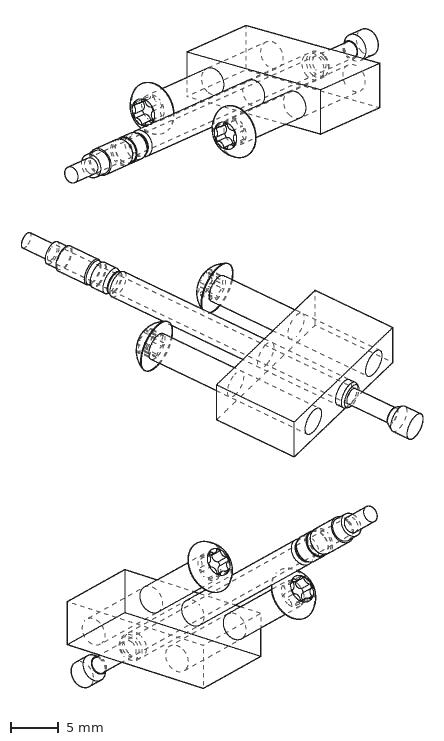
import cadquery as cq
import math


BLOCK_WIDTH = 18.0
BLOCK_DEPTH = 10.0
BLOCK_HEIGHT = 5.0

SCREW_OFFSET = 5.5
SHANK_RADIUS = 1.5
SHANK_EXPOSED = 10.1
HEAD_RADIUS = 2.85
HEAD_HEIGHT = 1.6
HEAD_RIM = 0.1
HEAD_FLAT_RADIUS = SHANK_RADIUS

SOCKET_RADIUS = 1.4
SOCKET_DEPTH = 1.5
FLUTE_COUNT = 6
FLUTE_RADIUS = 0.6
FLUTE_CENTRE_RADIUS = 1.65

BARREL_DIAMETER = 2.95
BARREL_RADIUS = BARREL_DIAMETER / 2
BARREL_BACK = BLOCK_DEPTH + 1.05
BACK_CHAMFER_LENGTH = 0.3
BACK_CHAMFER_DEPTH = 0.15
NOSE_RADIUS = 1.3
NOSE_START = 26.0
NOSE_LENGTH = 1.5
BARREL_FRONT = NOSE_START + NOSE_LENGTH

V_GROOVE_START = 19.05
V_GROOVE_WIDTH = 0.9
V_GROOVE_SLOPE = 0.4
V_GROOVE_DEPTH = 0.2
STEP_GROOVE_START = 21.6
STEP_GROOVE_WIDTH = 0.75
STEP_GROOVE_BACK_SLOPE = 0.05
STEP_GROOVE_FRONT_SLOPE = 0.15
STEP_GROOVE_DEPTH = 0.1

TOTAL_LENGTH = 50.1
ROD_RADIUS = 0.9
PLUNGER_BACK = BLOCK_DEPTH + 9.2
PLUNGER_FRONT = TOTAL_LENGTH - PLUNGER_BACK
TIP_RADIUS = BARREL_RADIUS
TIP_LENGTH = 2.1
CONE_LENGTH = 0.8
CONE_END_RADIUS = 1.0


def cylinder(radius, y_start, y_end, x=0.0, z=0.0):
    """Cylinder along Y between two Y positions."""
    plane = cq.Plane(origin=(x, y_start, z), xDir=(1, 0, 0), normal=(0, 1, 0))
    return cq.Workplane(plane).circle(radius).extrude(y_end - y_start)


def revolve_about_y(profile):
    """Solid of revolution of a closed (radius, Y) profile."""
    return profile.revolve(360, (0, 0, 0), (0, 1, 0))


def make_block():
    block = cq.Workplane("XY").box(BLOCK_WIDTH, BLOCK_DEPTH, BLOCK_HEIGHT)
    block = block.translate((0, BLOCK_DEPTH / 2, 0))
    block = block.cut(cylinder(BARREL_RADIUS, 0, BLOCK_DEPTH))
    for x in (-SCREW_OFFSET, SCREW_OFFSET):
        block = block.cut(cylinder(SHANK_RADIUS, 0, BLOCK_DEPTH, x))
    return block


def make_socket(face_y):
    """Round recess with inward flutes, opening on the front of the head."""
    bottom_y = face_y + SOCKET_DEPTH
    socket = cylinder(SOCKET_RADIUS, face_y, bottom_y)
    for i in range(FLUTE_COUNT):
        angle = 2 * math.pi * i / FLUTE_COUNT
        flute_x = FLUTE_CENTRE_RADIUS * math.cos(angle)
        flute_z = FLUTE_CENTRE_RADIUS * math.sin(angle)
        socket = socket.cut(cylinder(FLUTE_RADIUS, face_y, bottom_y, flute_x, flute_z))
    return socket


def make_screw(x):
    seat_y = -SHANK_EXPOSED
    rim_y = seat_y - HEAD_RIM
    face_y = seat_y - HEAD_HEIGHT

    dome_height = rim_y - face_y
    centre_above_rim = (HEAD_RADIUS**2 - HEAD_FLAT_RADIUS**2 - dome_height**2) / (2 * dome_height)
    dome_radius = math.hypot(HEAD_RADIUS, centre_above_rim)
    dome_mid_radius = (HEAD_RADIUS + HEAD_FLAT_RADIUS) / 2
    dome_mid_y = rim_y + centre_above_rim - math.sqrt(dome_radius**2 - dome_mid_radius**2)

    profile = (
        cq.Workplane("XY")
        .moveTo(0, BLOCK_DEPTH)
        .lineTo(SHANK_RADIUS, BLOCK_DEPTH)
        .lineTo(SHANK_RADIUS, seat_y)
        .lineTo(HEAD_RADIUS, seat_y)
        .lineTo(HEAD_RADIUS, rim_y)
        .threePointArc((dome_mid_radius, dome_mid_y), (HEAD_FLAT_RADIUS, face_y))
        .lineTo(0, face_y)
        .close()
    )
    screw = revolve_about_y(profile).cut(make_socket(face_y))
    return screw.translate((x, 0, 0))


def groove_points(start, width, depth, back_slope, front_slope):
    """Groove outline as (radius, Y), from its back edge to its front edge."""
    floor_radius = BARREL_RADIUS - depth
    return [
        (BARREL_RADIUS, -start),
        (floor_radius, -start - back_slope),
        (floor_radius, -start - width + front_slope),
        (BARREL_RADIUS, -start - width),
    ]


def make_barrel():
    v_groove = groove_points(
        V_GROOVE_START, V_GROOVE_WIDTH, V_GROOVE_DEPTH, V_GROOVE_SLOPE, V_GROOVE_SLOPE
    )
    step_groove = groove_points(
        STEP_GROOVE_START,
        STEP_GROOVE_WIDTH,
        STEP_GROOVE_DEPTH,
        STEP_GROOVE_BACK_SLOPE,
        STEP_GROOVE_FRONT_SLOPE,
    )
    outline = [
        (ROD_RADIUS, BARREL_BACK),
        (BARREL_RADIUS - BACK_CHAMFER_DEPTH, BARREL_BACK),
        (BARREL_RADIUS, BARREL_BACK - BACK_CHAMFER_LENGTH),
        *v_groove,
        *step_groove,
        (BARREL_RADIUS, -NOSE_START),
        (NOSE_RADIUS, -NOSE_START),
        (NOSE_RADIUS, -BARREL_FRONT),
        (ROD_RADIUS, -BARREL_FRONT),
    ]
    return revolve_about_y(cq.Workplane("XY").polyline(outline).close())


def make_plunger():
    cone_start = PLUNGER_BACK - TIP_LENGTH
    cone_end = cone_start - CONE_LENGTH
    outline = [
        (0, PLUNGER_BACK),
        (TIP_RADIUS, PLUNGER_BACK),
        (TIP_RADIUS, cone_start),
        (CONE_END_RADIUS, cone_end),
        (ROD_RADIUS, cone_end),
        (ROD_RADIUS, -PLUNGER_FRONT),
        (0, -PLUNGER_FRONT),
    ]
    return revolve_about_y(cq.Workplane("XY").polyline(outline).close())


block = make_block()
screws = [make_screw(x) for x in (-SCREW_OFFSET, SCREW_OFFSET)]
barrel = make_barrel()
plunger = make_plunger()

result = cq.Compound.makeCompound(
    [block.val(), *[screw.val() for screw in screws], barrel.val(), plunger.val()]
)